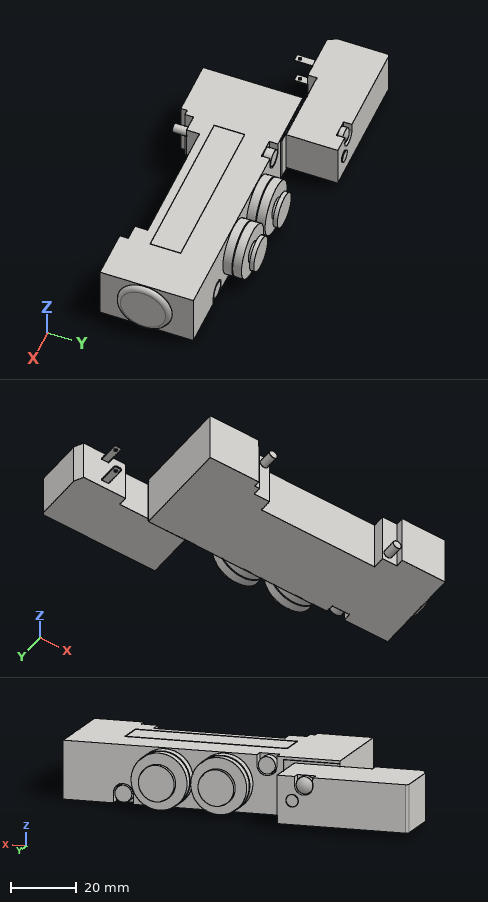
import cadquery as cq
import math


overall_length = 118.1
overall_depth = 50.7
housing_left = 27.5
housing_right = 116.5
housing_thickness = 18.5
port_face = 33.0
right_foot = 2.1
left_foot_end = 45.6
left_pad_start = 47.4
channel_left = 53.0
channel_right = 95.1
right_pad_end = 100.4
pad_level = 5.0
channel_level = 9.2

label_left = 48.1
label_right = 100.0
label_bottom = 12.0
label_top = 22.1
label_depth = 0.1

cap_diameter = 18.0
cap_height = overall_length - housing_right
cap_y = 17.0
cap_rim_radius = 1.5

screw_diagonal = [(51.0, 1), (97.1, -1)]
screw_z = 6.1
screw_diameter = 3.0
screw_head_diameter = 5.4
screw_slot_width = 6.4
screw_slot_depth = 2.8
screw_floor = port_face - screw_slot_depth

port_centres = [64.5, 83.6]
port_diameter = 18.0
port_height = 6.1
port_groove_offset = 3.0
port_groove_width = 0.2
port_groove_depth = 0.1
port_neck_diameter = 7.0
port_neck_height = 1.3
port_flange_diameter = 11.5
port_flange_height = 1.4

gasket_thickness = 0.4
gasket_width = 16.8

coil_right = 42.0
coil_width = 15.2
coil_top = 50.3
coil_seat = port_face + gasket_thickness
plug_bottom = 30.2
plug_right = 17.1
plug_chamfer_x = 1.5
plug_chamfer_y = 3.1
coil_edge_radius = 1.0

coil_screw_x = 33.5
coil_screw_z = 4.8
coil_screw_diameter = 5.4
coil_slot_width = 5.8
coil_slot_depth = 2.7
coil_slot_floor = coil_top - coil_slot_depth
coil_screw_side = 1.8
coil_screw_dome = 0.8

lamp_x = 37.2
lamp_diameter = 3.9
lamp_height = overall_depth - coil_top

terminal_x = 9.6
terminal_z = 4.6
terminal_width = 2.6
terminal_length = 7.1
terminal_thickness = 0.5
terminal_chamfer = 0.4
terminal_hole_diameter = 1.0
terminal_hole_inset = 1.5


def y_cylinder(x, y, z, diameter, height):
    """Cylinder that starts at (x, y, z) and runs towards +Y."""
    cylinder = cq.Solid.makeCylinder(diameter / 2, height, cq.Vector(x, y, z), cq.Vector(0, 1, 0))
    return cq.Workplane(cylinder)


def block(x_range, y_range, z_range):
    """Box between the two limits on each axis."""
    size = [high - low for low, high in (x_range, y_range, z_range)]
    return cq.Workplane().box(*size, centered=False).translate((x_range[0], y_range[0], z_range[0]))


def open_slot(x, z, side, width, floor_y, face_y, flank):
    """Round-ended slot sunk from a +Y face and open to the +Z (side 1) or -Z (side -1) flank."""
    round_end = y_cylinder(x, floor_y, side * z, width, face_y - floor_y)
    z_range = sorted((side * z, side * flank))
    mouth = block((x - width / 2, x + width / 2), (floor_y, face_y), z_range)
    return round_end.union(mouth)


def housing_outline():
    points = [
        (housing_left, 0),
        (left_foot_end, 0),
        (left_foot_end, right_foot),
        (left_pad_start, right_foot),
        (left_pad_start, pad_level),
        (channel_left, pad_level),
        (channel_left, channel_level),
        (channel_right, channel_level),
        (channel_right, pad_level),
        (right_pad_end, pad_level),
        (right_pad_end, right_foot),
        (housing_right, right_foot),
        (housing_right, port_face),
        (housing_left, port_face),
    ]
    return cq.Workplane().polyline(points).close().extrude(housing_thickness / 2, both=True)


def label_recess():
    top = housing_thickness / 2
    return block((label_left, label_right), (label_bottom, label_top), (top - label_depth, top))


def end_cap():
    """Round cap with a rounded rim on the right end."""
    cap = cq.Workplane("YZ", origin=(housing_right, cap_y, 0)).circle(cap_diameter / 2).extrude(cap_height)
    return cap.faces(">X").edges().fillet(cap_rim_radius)


def port(x):
    """Collar with a fine groove, neck and flange, stacked along +Y."""
    groove_diameter = port_diameter - 2 * port_groove_depth
    stages = [
        (port_diameter, port_groove_offset),
        (groove_diameter, port_groove_width),
        (port_diameter, port_height - port_groove_offset - port_groove_width),
        (port_neck_diameter, port_neck_height),
        (port_flange_diameter, port_flange_height),
    ]
    stack = cq.Workplane()
    stage_y = port_face
    for diameter, height in stages:
        stack = stack.add(y_cylinder(x, stage_y, 0, diameter, height))
        stage_y += height
    return stack.combine()


def make_housing():
    housing = housing_outline().cut(label_recess()).union(end_cap())
    for x in port_centres:
        housing = housing.union(port(x))
    flank = housing_thickness / 2
    for x, side in screw_diagonal:
        slot = open_slot(x, screw_z, side, screw_slot_width, screw_floor, port_face, flank)
        head = y_cylinder(x, screw_floor, side * screw_z, screw_head_diameter, screw_slot_depth)
        shank = y_cylinder(x, 0, side * screw_z, screw_diameter, pad_level)
        housing = housing.cut(slot).union(head).union(shank)
    return housing


def make_gasket():
    half_width = gasket_width / 2
    return block((housing_left, left_foot_end), (port_face, coil_seat), (-half_width, half_width))


def coil_outline():
    points = [
        (plug_chamfer_x, plug_bottom),
        (plug_right, plug_bottom),
        (plug_right, coil_seat),
        (coil_right, coil_seat),
        (coil_right, coil_top),
        (0, coil_top),
        (0, plug_bottom + plug_chamfer_y),
    ]
    coil = cq.Workplane().polyline(points).close().extrude(coil_width / 2, both=True)
    return coil.edges("|Z and <X and >Y").fillet(coil_edge_radius)


def coil_screw_head():
    """Domed screw head that stands on the slot floor."""
    radius = coil_screw_diameter / 2
    sphere_radius = (radius**2 + coil_screw_dome**2) / (2 * coil_screw_dome)
    half_angle = math.asin(radius / sphere_radius) / 2
    arc_middle = (
        sphere_radius * math.sin(half_angle),
        coil_screw_side + coil_screw_dome - sphere_radius * (1 - math.cos(half_angle)),
    )
    profile = (
        cq.Workplane()
        .lineTo(radius, 0)
        .lineTo(radius, coil_screw_side)
        .threePointArc(arc_middle, (0, coil_screw_side + coil_screw_dome))
        .close()
    )
    head = profile.revolve(360, (0, 0, 0), (0, 1, 0))
    return head.translate((coil_screw_x, coil_slot_floor, coil_screw_z))


def terminal(z):
    """Flat tab with a wire hole, hanging from the plug face towards -Y."""
    tip_y = plug_bottom - terminal_length
    half_width = terminal_width / 2
    half_thickness = terminal_thickness / 2
    tab = block(
        (terminal_x - half_width, terminal_x + half_width),
        (tip_y, plug_bottom),
        (z - half_thickness, z + half_thickness),
    )
    tab = tab.edges("|Z and <Y").chamfer(terminal_chamfer)
    hole = cq.Workplane(origin=(terminal_x, tip_y + terminal_hole_inset, z))
    return tab.cut(hole.circle(terminal_hole_diameter / 2).extrude(terminal_thickness, both=True))


def make_coil():
    flank = coil_width / 2
    slot = open_slot(coil_screw_x, coil_screw_z, 1, coil_slot_width, coil_slot_floor, coil_top, flank)
    lamp = y_cylinder(lamp_x, coil_top, 0, lamp_diameter, lamp_height)
    coil = coil_outline().cut(slot).union(coil_screw_head()).union(lamp)
    for side in (1, -1):
        coil = coil.union(terminal(side * terminal_z))
    return coil


housing = make_housing()
gasket = make_gasket()
coil = make_coil()

result = cq.Compound.makeCompound([body.solids().val() for body in (housing, gasket, coil)])